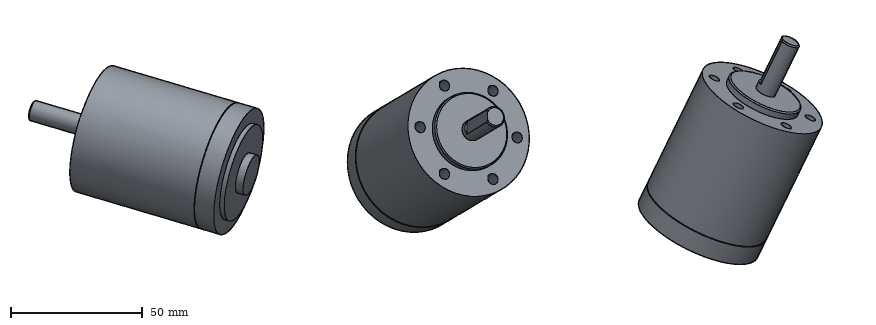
import cadquery as cq
import math

shaft_length = 22.9
pilot_length = 3.0
front_plate_length = 11.1
body_length = 59.1
rear_step_length = 1.9
total_length = 90.0

shaft_diameter = 8.0
pilot_diameter = 30.0
body_diameter = 50.0
rear_step_diameter = 38.2
rear_boss_diameter = 16.0

edge_chamfer = 0.5

flat_length = 20.0
flat_depth = 0.8

rear_cap_length = 7.9

groove_width = 0.2
groove_depth = 0.2

hole_count = 6
hole_diameter = 4.2
hole_circle_diameter = 40.0
hole_depth = 10.0
drill_tip_angle = 118.0

body_front = shaft_length + pilot_length
body_rear = body_front + body_length
front_joint = body_front + front_plate_length
rear_joint = body_rear - rear_cap_length
groove_front = rear_joint - groove_width
rear_step_end = body_rear + rear_step_length


def cylinder(start, end, diameter):
    """Solid cylinder on the X axis between two X positions."""
    return cq.Workplane("YZ", origin=(start, 0, 0)).circle(diameter / 2).extrude(end - start)


def make_shaft():
    """Output shaft with a chamfered tip and a flat on its +Y side."""
    shaft = cylinder(0, shaft_length, shaft_diameter).faces("<X").chamfer(edge_chamfer)
    flat_cutter = cq.Workplane("XY").box(
        flat_length, flat_depth, shaft_diameter, centered=(False, False, True)
    )
    return shaft.cut(flat_cutter.translate((0, shaft_diameter / 2 - flat_depth, 0)))


def make_hole_tool():
    """Drill shape along +X from the body front, ending in a conical tip."""
    radius = hole_diameter / 2
    tip_length = radius / math.tan(math.radians(drill_tip_angle / 2))
    half_profile = (
        cq.Workplane("XY")
        .polyline([(0, 0), (0, radius), (hole_depth, radius), (hole_depth + tip_length, 0)])
        .close()
    )
    drill = half_profile.revolve(360, (0, 0, 0), (1, 0, 0))
    return drill.translate((body_front, hole_circle_diameter / 2, 0))


pilot = cylinder(shaft_length, body_front, pilot_diameter).faces("<X").chamfer(edge_chamfer)
front_plate = cylinder(body_front, front_joint, body_diameter)
housing = cylinder(front_joint, groove_front, body_diameter)
groove_floor = cylinder(groove_front, rear_joint, body_diameter - 2 * groove_depth)
rear_cap = cylinder(rear_joint, body_rear, body_diameter)
rear_step = cylinder(body_rear, rear_step_end, rear_step_diameter)
rear_boss = cylinder(rear_step_end, total_length, rear_boss_diameter)

result = make_shaft()
for section in (pilot, front_plate, housing, groove_floor, rear_cap, rear_step, rear_boss):
    result = result.union(section, clean=False)

hole_tool = make_hole_tool()
for index in range(hole_count):
    angle = index * 360 / hole_count
    result = result.cut(hole_tool.rotate((0, 0, 0), (1, 0, 0), angle), clean=False)